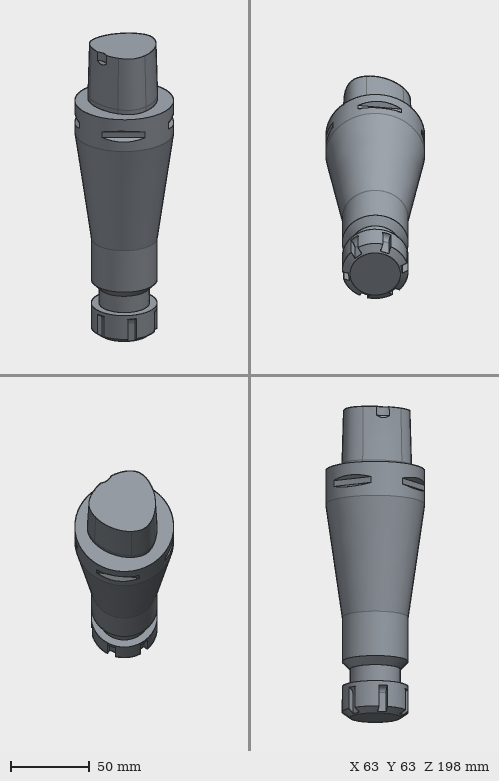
import cadquery as cq
import math

total_height = 198.0
shank_length = 38.0
flange_height = 22.0
flange_top = total_height - shank_length
flange_bottom = flange_top - flange_height
taper_bottom = 65.0
body_bottom = 36.2
neck_top = 31.3
nut_top = 20.0
nut_chamfer_height = 3.5

flange_diameter = 63.0
body_diameter = 42.0
neck_diameter = 32.0

shank_top_radius = 21.2
shank_base_radius = 22.2
lobe_offset = 1.4
shank_collar_height = 3.0
flat_half_angle = math.radians(25)
points_per_face = 9

notch_diameter = 16.0
notch_wall_distance = 18.5
notch_depth = 5.7

groove_count = 4
groove_floor_distance = 28.3
groove_floor_height = 3.8
groove_mouth_height = 7.5
groove_center_z = 148.3

slot_count = 6
slot_width = 5.5
slot_floor_distance = 17.0
slot_top = 17.2
slot_end_radius = 4.2


def revolved_body():
    """Flange, long taper, cylindrical body, neck and clamping nut."""
    flange_radius = flange_diameter / 2
    body_radius = body_diameter / 2
    neck_radius = neck_diameter / 2
    profile = [
        (0, 0),
        (neck_radius, 0),
        (body_radius, nut_chamfer_height),
        (body_radius, nut_top),
        (neck_radius, nut_top),
        (neck_radius, neck_top),
        (body_radius, body_bottom),
        (body_radius, taper_bottom),
        (flange_radius, flange_bottom),
        (flange_radius, flange_top),
        (0, flange_top),
    ]
    return cq.Workplane("XZ").polyline(profile).close().revolve(360, (0, 0), (0, 1))


def lobed_point(mean_radius, angle):
    """Point on the constant-width three-lobed curve, with one lobe toward +Y."""
    support = mean_radius - lobe_offset * math.sin(3 * angle)
    slope = -3 * lobe_offset * math.cos(3 * angle)
    x = support * math.cos(angle) - slope * math.sin(angle)
    y = support * math.sin(angle) + slope * math.cos(angle)
    return (x, y)


def lobed_outline(workplane, mean_radius):
    """Closed outline of three flat faces alternating with three lobes."""
    lobe_half_angle = math.pi / 3 - flat_half_angle
    start = -math.pi / 2 - flat_half_angle
    outline = workplane.moveTo(*lobed_point(mean_radius, start))
    for face in range(6):
        half_angle = flat_half_angle if face % 2 == 0 else lobe_half_angle
        step = 2 * half_angle / points_per_face
        points = [
            lobed_point(mean_radius, start + step * i)
            for i in range(1, points_per_face + 1)
        ]
        outline = outline.spline(points, includeCurrent=True)
        start += 2 * half_angle
    return outline.close()


def shank():
    """Straight collar on the flange with the tapered shank above it."""
    base = cq.Workplane("XY").workplane(offset=flange_top)
    collar = lobed_outline(base, shank_base_radius).extrude(shank_collar_height)
    taper_length = shank_length - shank_collar_height
    taper_start = base.workplane(offset=shank_collar_height)
    lower = lobed_outline(taper_start, shank_base_radius)
    upper_plane = lower.workplane(offset=taper_length)
    taper = lobed_outline(upper_plane, shank_top_radius).loft(ruled=True)
    return collar.union(taper)


def shank_notch():
    """Cutter for the shallow rounded notch on the -Y side of the shank."""
    radius = notch_diameter / 2
    shoulder_z = total_height - notch_depth
    profile = [
        (0, total_height),
        (radius, total_height),
        (radius, shoulder_z),
        (0, shoulder_z - radius),
    ]
    drill = cq.Workplane("XZ").polyline(profile).close().revolve(360, (0, 0), (0, 1))
    return drill.translate((0, -(notch_wall_distance + radius), 0))


def gripper_groove():
    """Cutter for a straight trapezoidal groove on the +X side."""
    mouth_distance = flange_diameter / 2
    profile = [
        (groove_floor_distance, groove_center_z - groove_floor_height / 2),
        (mouth_distance, groove_center_z - groove_mouth_height / 2),
        (mouth_distance, groove_center_z + groove_mouth_height / 2),
        (groove_floor_distance, groove_center_z + groove_floor_height / 2),
    ]
    half_length = flange_diameter / 2
    return cq.Workplane("XZ").polyline(profile).close().extrude(half_length, both=True)


def spanner_slot():
    """Cutter for a nut slot on the +X side, rounded where its floor meets its top."""
    arc_center_x = slot_floor_distance + slot_end_radius
    arc_start_z = slot_top - slot_end_radius
    arc_reach = slot_end_radius * math.cos(math.pi / 4)
    return (
        cq.Workplane("XZ")
        .moveTo(arc_center_x, 0)
        .lineTo(slot_floor_distance, 0)
        .lineTo(slot_floor_distance, arc_start_z)
        .threePointArc(
            (arc_center_x - arc_reach, arc_start_z + arc_reach),
            (arc_center_x, slot_top),
        )
        .close()
        .extrude(slot_width / 2, both=True)
    )


def cut_around(part, cutter, count, first_angle):
    """Cut equally spaced copies of a cutter around the Z axis."""
    for i in range(count):
        angle = first_angle + i * 360 / count
        part = part.cut(cutter.rotate((0, 0, 0), (0, 0, 1), angle))
    return part


result = revolved_body().union(shank())
result = result.cut(shank_notch())
result = cut_around(result, gripper_groove(), groove_count, 45)
result = cut_around(result, spanner_slot(), slot_count, 30)